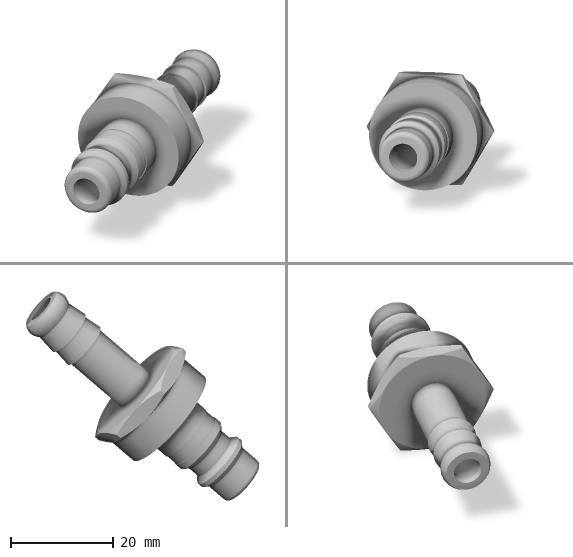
import cadquery as cq
import math

total_length = 54.0
front_collar_start = 5.0
front_collar_end = 8.05
neck_end = 10.4
rear_collar_end = 13.0
relief_end = 15.5
flange_start = 20.0
hex_start = 26.0
hex_end = 29.0
barb_start = 42.55
bulb_length = 3.45
barb_count = 2

bore_radius = 2.8
plug_radius = 5.0
collar_radius = 6.0
neck_radius = 4.85
relief_radius = 5.85
flange_radius = 10.8
tail_radius = 4.4
barb_radius = 4.85
bulb_radius = 5.0

hex_across_flats = 22.0
hex_chamfer_radius = 10.9
hex_chamfer_angle = 30.0
tip_fillet = 0.95


def revolve_about_y(outline):
    """Revolve a closed (radius, Y) outline about the Y axis."""
    return outline.close().revolve(360, (0, 0, 0), (0, 1, 0))


def make_plug():
    """Quick-coupling plug with two collars, joined to the round flange."""
    front_slope = collar_radius - plug_radius
    neck_slope = collar_radius - neck_radius
    profile = (
        cq.Workplane("XY")
        .lineTo(plug_radius - tip_fillet, 0)
        .radiusArc((plug_radius, tip_fillet), -tip_fillet)
        .lineTo(plug_radius, front_collar_start)
        .lineTo(collar_radius, front_collar_start + front_slope)
        .lineTo(collar_radius, front_collar_end - neck_slope)
        .lineTo(neck_radius, front_collar_end)
        .lineTo(neck_radius, neck_end)
        .lineTo(collar_radius, neck_end + neck_slope)
        .lineTo(collar_radius, rear_collar_end)
        .lineTo(relief_radius, rear_collar_end)
        .lineTo(relief_radius, relief_end)
        .lineTo(collar_radius, relief_end)
        .lineTo(collar_radius, flange_start)
        .lineTo(flange_radius, flange_start)
        .lineTo(flange_radius, hex_start)
        .lineTo(0, hex_start)
    )
    return revolve_about_y(profile)


def make_hexagon():
    """Wrench hexagon with its corners chamfered conically on both faces."""
    corner_radius = hex_across_flats / math.sqrt(3)
    chamfer_depth = (corner_radius - hex_chamfer_radius) * math.tan(math.radians(hex_chamfer_angle))
    prism = (
        cq.Workplane("XZ", origin=(0, hex_start, 0))
        .polygon(6, 2 * corner_radius)
        .extrude(hex_start - hex_end)
    )
    envelope = (
        cq.Workplane("XY")
        .moveTo(0, hex_start)
        .lineTo(hex_chamfer_radius, hex_start)
        .lineTo(corner_radius, hex_start + chamfer_depth)
        .lineTo(corner_radius, hex_end - chamfer_depth)
        .lineTo(hex_chamfer_radius, hex_end)
        .lineTo(0, hex_end)
    )
    return prism.intersect(revolve_about_y(envelope))


def make_hose_tail():
    """Hose tail with tapered barbs and a rounded bulb at its end."""
    bulb_start = total_length - bulb_length
    barb_pitch = (bulb_start - barb_start) / barb_count
    profile = (
        cq.Workplane("XY")
        .moveTo(0, hex_end)
        .lineTo(tail_radius, hex_end)
        .lineTo(tail_radius, barb_start)
    )
    for index in range(barb_count):
        start = barb_start + index * barb_pitch
        profile = (
            profile.lineTo(barb_radius, start)
            .lineTo(tail_radius, start + barb_pitch)
        )
    profile = (
        profile.threePointArc(
            (bulb_radius, bulb_start + bulb_length / 2),
            (tail_radius, total_length),
        )
        .lineTo(0, total_length)
    )
    return revolve_about_y(profile)


bore = cq.Workplane("XZ").circle(bore_radius).extrude(-total_length)
result = make_plug().union(make_hexagon()).union(make_hose_tail()).cut(bore)